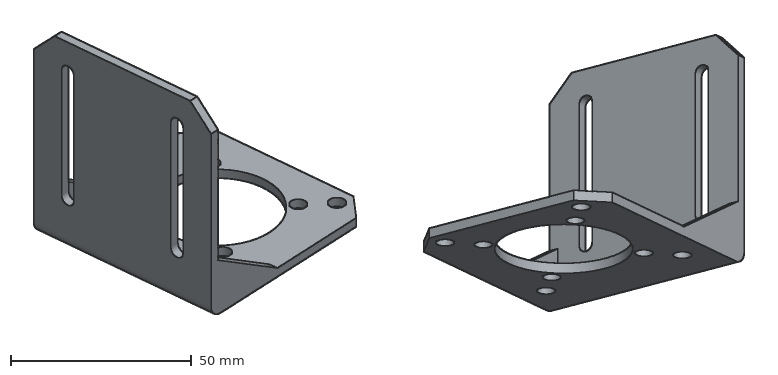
import cadquery as cq

width = 65.0
length = 69.0
height = 69.0
thickness = 3.0
corner_chamfer = 7.65

outer_bend_radius = 4.0
inner_bend_radius = 2.0

gusset_reach = 27.95
gusset_height = 18.0

slot_spacing = 40.0
slot_width = 4.4
slot_length = 46.1
slot_center_z = 38.1

bore_diameter = 38.2
bore_center_y = 40.1
inner_hole_spacing = 31.75
inner_hole_diameter = 5.05
outer_hole_spacing = 46.9
outer_hole_diameter = 5.2


def make_plates():
    """Bent L-shaped sheet with its free corners chamfered."""
    base = cq.Workplane("XY").box(width, length, thickness, centered=(True, False, False))
    upright = cq.Workplane("XY").box(width, thickness, height, centered=(True, False, False))
    base = base.edges("|Z and >Y").chamfer(corner_chamfer)
    upright = upright.edges("|Y and >Z").chamfer(corner_chamfer)
    plates = base.union(upright)
    inner_corner = cq.selectors.NearestToPointSelector((0, thickness, thickness))
    return plates.edges("|X").edges(inner_corner).fillet(inner_bend_radius)


def make_gusset(start_x):
    """Triangular side web joining the two plates."""
    profile = [
        (0, 0),
        (gusset_reach, 0),
        (gusset_reach, thickness),
        (thickness, gusset_height),
        (0, gusset_height),
    ]
    return (
        cq.Workplane("YZ", origin=(start_x, 0, 0))
        .polyline(profile)
        .close()
        .extrude(thickness)
    )


def make_slots():
    """Cutters for the pair of vertical slots."""
    return (
        cq.Workplane("XZ", origin=(0, 0, slot_center_z))
        .pushPoints([(-slot_spacing / 2, 0), (slot_spacing / 2, 0)])
        .slot2D(slot_length, slot_width, angle=90)
        .extrude(-thickness)
    )


def make_square_holes(spacing, diameter):
    """Cutters for four holes on a square around the bore."""
    return (
        cq.Workplane("XY", origin=(0, bore_center_y, 0))
        .rect(spacing, spacing, forConstruction=True)
        .vertices()
        .circle(diameter / 2)
        .extrude(thickness)
    )


bracket = make_plates()
for gusset_start_x in (-width / 2, width / 2 - thickness):
    bracket = bracket.union(make_gusset(gusset_start_x))
bracket = bracket.edges("|X and <Y and <Z").fillet(outer_bend_radius)

bore = (
    cq.Workplane("XY", origin=(0, bore_center_y, 0))
    .circle(bore_diameter / 2)
    .extrude(thickness)
)
result = (
    bracket.cut(bore)
    .cut(make_square_holes(inner_hole_spacing, inner_hole_diameter))
    .cut(make_square_holes(outer_hole_spacing, outer_hole_diameter))
    .cut(make_slots())
)